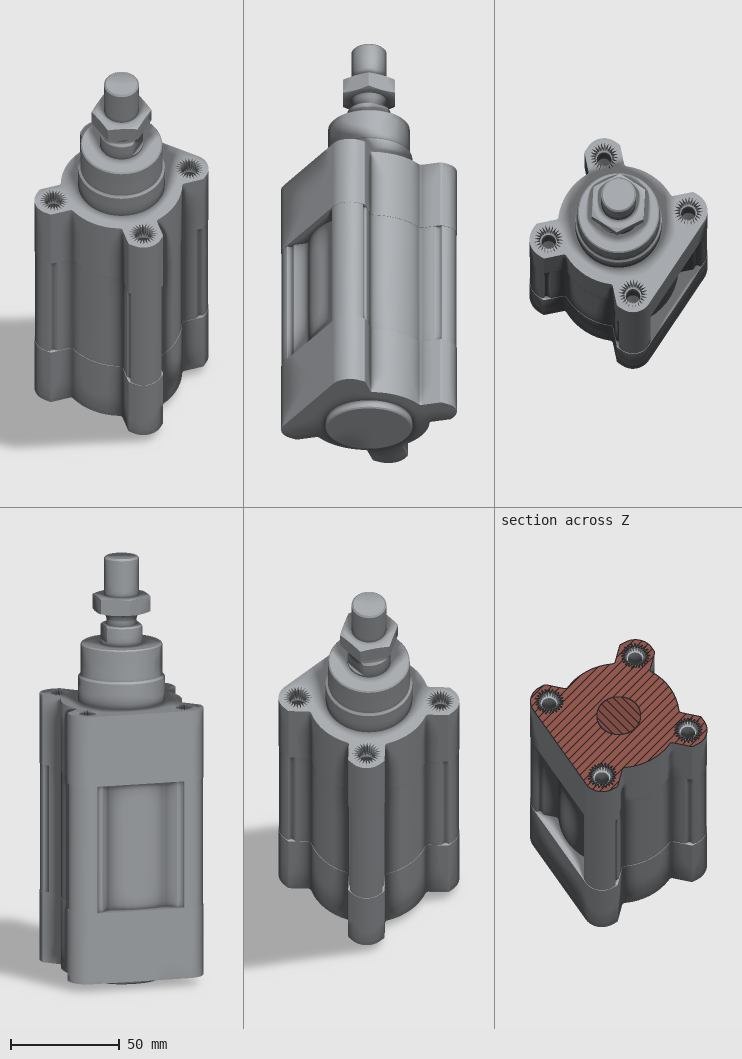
import cadquery as cq
import math

base_height = 4.0
rear_cap_top = 37.2
barrel_top = 97.0
front_cap_top = 130.0
shoulder_top = 141.5
sleeve_top = 157.3
flats_bottom = 158.5
rod_shoulder = 166.0
relief_top = 168.5
thread_bottom = 171.5
nut_bottom = 171.9
nut_top = 179.8
rod_top = 197.8

cap_half_width = 32.0
bolt_spacing = 46.5
bolt_offset = bolt_spacing / 2
corner_radius = cap_half_width - bolt_offset
core_diameter = 56.0
core_radius = core_diameter / 2
notch_apex = 11.9
notch_overrun = 2.0
flank_inset = 0.3
cap_edge_radius = 1.4
barrel_inset = 0.2
groove_half_width = 20.8
groove_tip_radius = 0.5
groove_cove_radius = 1.2
groove_floor = 29.5
barrel_root_radius = 2.0

collar_diameter = 40.0
sleeve_bottom_diameter = 38.0
sleeve_top_diameter = 37.5
collar_chamfer = 0.5
shoulder_chamfer = 1.0

socket_teeth = 24
tooth_tip_radius = 6.7
tooth_root_radius = 4.0
socket_depth = 6.0
screw_bore_diameter = 6.7
screw_bore_depth = 19.8
drill_tip_angle = 118.0

rod_diameter = 20.0
rod_bottom = barrel_top
rod_flats = 17.0
relief_diameter = 13.8
thread_diameter = 16.0
thread_chamfer = 0.8
shoulder_edge_chamfer = 0.5

nut_across_flats = 24.0
nut_face_diameter = 23.5
nut_chamfer_angle = 15.0


def disc(diameter, bottom, top):
    """Round bar on the Z axis."""
    return cq.Workplane("XY").workplane(offset=bottom).circle(diameter / 2).extrude(top - bottom)


def bolt_points():
    """Centres of the four corner screws."""
    return [(x * bolt_offset, y * bolt_offset) for x in (-1, 1) for y in (-1, 1)]


def flank_root(radius, apex):
    """Smaller coordinate of the point where a 45 degree flank meets a round core."""
    return (math.sqrt(2 * radius**2 - apex**2) - apex) / 2


def fillet_mirrored(body, x, y, z, radius):
    """Fillet the upright edge near (x, y, z) and its mirror images about the X, Y and 45 degree planes."""
    for sx in (-1, 1):
        for sy in (-1, 1):
            for px, py in ((x, y), (y, x)):
                edge = cq.selectors.NearestToPointSelector((sx * px, sy * py, z))
                body = body.edges(edge).fillet(radius)
    return body


def make_notch(apex, radius, bottom, top):
    """Wedge on the -Y side with 45 degree flanks, hollowed to leave a round core of the given radius."""
    reach = cap_half_width + notch_overrun
    half_width = reach - apex
    return (
        cq.Workplane("XY").workplane(offset=bottom)
        .polyline([(0, -apex), (-half_width, -reach), (half_width, -reach)])
        .close().extrude(top - bottom)
        .cut(disc(2 * radius, bottom, top))
    )


def make_cap(bottom, top):
    """Square cap, flat on +Y, with the other three sides cut back to the round core."""
    cap = (
        cq.Workplane("XY").workplane(offset=bottom)
        .rect(2 * cap_half_width, 2 * cap_half_width).extrude(top - bottom)
        .edges("|Z").fillet(corner_radius)
    )
    notch = make_notch(notch_apex, core_radius, bottom, top)
    for angle in (-90, 0, 90):
        cap = cap.cut(notch.rotate((0, 0, 0), (0, 0, 1), angle))
    outer = cap_half_width - notch_apex
    root = flank_root(core_radius, notch_apex)
    middle = (bottom + top) / 2
    for x in (outer, root):
        y = x + notch_apex
        for px, py in ((x, -y), (-x, -y), (y, x), (y, -x), (-y, x), (-y, -x)):
            edge = cq.selectors.NearestToPointSelector((px, py, middle))
            cap = cap.edges(edge).fillet(cap_edge_radius)
    return cap


def make_barrel(bottom, top):
    """Round core with four lobes; a stepped groove follows each lobe flank."""
    height = top - bottom
    middle = (bottom + top) / 2
    barrel_core = core_radius - barrel_inset
    lobe_radius = corner_radius - barrel_inset
    apex = notch_apex - flank_inset

    barrel = disc(2 * barrel_core, bottom, top)
    neck_length = bolt_offset * math.sqrt(2)
    neck = (
        cq.Workplane("XY").workplane(offset=bottom)
        .center(neck_length / 2, 0).rect(neck_length, 2 * lobe_radius).extrude(height)
    )
    for angle in (45, 135, 225, 315):
        barrel = barrel.union(neck.rotate((0, 0, 0), (0, 0, 1), angle))
    lobes = (
        cq.Workplane("XY").workplane(offset=bottom)
        .pushPoints(bolt_points()).circle(lobe_radius).extrude(height)
    )
    barrel = barrel.union(lobes)

    notch = make_notch(apex, barrel_core, bottom, top)
    groove_depth = cap_half_width - groove_floor
    groove = (
        cq.Workplane("XY").workplane(offset=bottom)
        .center(0, -groove_floor - groove_depth / 2)
        .rect(2 * groove_half_width, groove_depth).extrude(height)
    )
    side_cut = notch.union(groove).intersect(
        cq.Workplane("XY").workplane(offset=bottom)
        .rect(2 * groove_half_width, 4 * cap_half_width).extrude(height)
    )
    for angle in (0, 90, 180, 270):
        barrel = barrel.cut(side_cut.rotate((0, 0, 0), (0, 0, 1), angle))

    root = flank_root(barrel_core, apex)
    tip = bolt_offset + math.sqrt(lobe_radius**2 - (bolt_offset - groove_half_width) ** 2)
    barrel = fillet_mirrored(barrel, root, root + apex, middle, barrel_root_radius)
    barrel = fillet_mirrored(barrel, groove_half_width, tip, middle, groove_tip_radius)
    return fillet_mirrored(barrel, groove_half_width, groove_floor, middle, groove_cove_radius)


def make_sockets():
    """Toothed recesses, each with a drilled screw bore below it."""
    teeth = []
    for i in range(2 * socket_teeth):
        radius = tooth_tip_radius if i % 2 == 0 else tooth_root_radius
        angle = math.pi * i / socket_teeth
        teeth.append((radius * math.cos(angle), radius * math.sin(angle)))
    recess = cq.Workplane("XY").workplane(offset=front_cap_top).polyline(teeth).close().extrude(-socket_depth)
    bore_radius = screw_bore_diameter / 2
    bore_bottom = front_cap_top - screw_bore_depth
    tip_depth = bore_radius / math.tan(math.radians(drill_tip_angle / 2))
    bore = (
        cq.Workplane("XZ")
        .polyline([
            (0, front_cap_top), (bore_radius, front_cap_top),
            (bore_radius, bore_bottom), (0, bore_bottom - tip_depth),
        ])
        .close().revolve(360, (0, 0, 0), (0, 1, 0))
    )
    tool = recess.union(bore)
    return [tool.translate((x, y, 0)) for x, y in bolt_points()]


def make_housing():
    """End caps, barrel and collars in one solid, bored for the rod."""
    base = disc(collar_diameter, 0, base_height).faces("<Z").chamfer(collar_chamfer)
    shoulder = disc(collar_diameter, front_cap_top, shoulder_top + shoulder_chamfer)
    shoulder = shoulder.faces(">Z").chamfer(shoulder_chamfer)
    sleeve = (
        cq.Workplane("XY").workplane(offset=shoulder_top).circle(sleeve_bottom_diameter / 2)
        .workplane(offset=sleeve_top - shoulder_top).circle(sleeve_top_diameter / 2).loft()
        .faces(">Z").chamfer(collar_chamfer)
    )
    housing = (
        make_cap(base_height, rear_cap_top)
        .union(make_barrel(rear_cap_top, barrel_top))
        .union(make_cap(barrel_top, front_cap_top))
        .union(base).union(shoulder).union(sleeve)
    )
    for socket in make_sockets():
        housing = housing.cut(socket)
    return housing.cut(disc(rod_diameter, rod_bottom, sleeve_top))


def make_rod():
    """Rod with two spanner flats facing +X and -X, a thread relief and a plain thread."""
    body = disc(rod_diameter, rod_bottom, rod_shoulder).faces(">Z").chamfer(shoulder_edge_chamfer)
    flats = (
        cq.Workplane("XY").workplane(offset=flats_bottom)
        .rect(rod_flats, 2 * rod_diameter).extrude(rod_shoulder - flats_bottom)
    )
    body = body.intersect(flats.union(disc(2 * rod_diameter, rod_bottom, flats_bottom)))
    thread_radius = thread_diameter / 2
    relief_radius = relief_diameter / 2
    thread = (
        cq.Workplane("XZ")
        .polyline([
            (0, rod_shoulder), (relief_radius, rod_shoulder), (relief_radius, relief_top),
            (thread_radius, thread_bottom), (thread_radius, rod_top - thread_chamfer),
            (thread_radius - thread_chamfer, rod_top), (0, rod_top),
        ])
        .close().revolve(360, (0, 0, 0), (0, 1, 0))
    )
    return body.union(thread)


def make_nut():
    """Hexagon nut with flats on +X and -X and its corners turned to a cone at both ends."""
    corner = nut_across_flats / math.sqrt(3)
    hexagon = (
        cq.Workplane("XY").workplane(offset=nut_bottom)
        .polygon(6, 2 * corner).extrude(nut_top - nut_bottom).rotate((0, 0, 0), (0, 0, 1), 30)
    )
    face_radius = nut_face_diameter / 2
    drop = (corner - face_radius) * math.tan(math.radians(nut_chamfer_angle))
    turned = (
        cq.Workplane("XZ")
        .polyline([
            (0, nut_bottom), (face_radius, nut_bottom), (corner, nut_bottom + drop),
            (corner, nut_top - drop), (face_radius, nut_top), (0, nut_top),
        ])
        .close().revolve(360, (0, 0, 0), (0, 1, 0))
    )
    return hexagon.intersect(turned).cut(disc(thread_diameter, nut_bottom, nut_top))


housing = make_housing()
rod = make_rod()
nut = make_nut()

result = cq.Compound.makeCompound([housing.solids().val(), rod.solids().val(), nut.solids().val()])